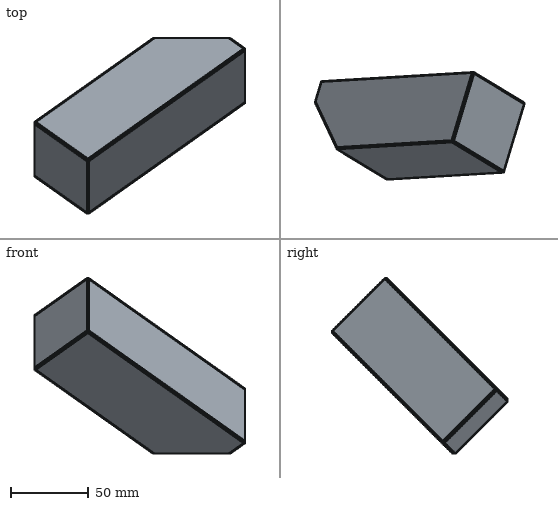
import cadquery as cq
import math

length = 145.0
width = 50.0
thickness = 50.0
corner_cut = 34.8
edge_chamfer = 1.0

diagonal = math.sqrt(0.5)
length_direction = (diagonal, 0.5, -0.5)
thickness_direction = (0, diagonal, diagonal)


def corner_wedge():
    """Triangular prism that slices off one far corner at 45 degrees."""
    return (
        cq.Workplane("XY")
        .moveTo(length, width)
        .lineTo(length - corner_cut, width)
        .lineTo(length, width - corner_cut)
        .close()
        .extrude(thickness)
    )


def beveled_block():
    """Block with all twelve edges beveled and the bevels mitred at the corners."""
    block = cq.Workplane("XY").box(length, width, thickness, centered=False)
    beveled = block
    for edge_direction in ("|X", "|Y", "|Z"):
        beveled = beveled.intersect(block.edges(edge_direction).chamfer(edge_chamfer))
    return beveled


def upright_bar():
    """Bar lying along X with its far corner cut off; the cut is beveled only at top and bottom."""
    bar = beveled_block().cut(corner_wedge())
    cut_direction = cq.Vector(1, 1, 0)
    cut_face = bar.faces(cq.selectors.DirectionMinMaxSelector(cut_direction))
    return cut_face.edges("#Z").chamfer(edge_chamfer)


tilted_frame = cq.Plane(origin=(0, 0, 0), xDir=length_direction, normal=thickness_direction)
result = cq.Workplane("XY").newObject([upright_bar().val().moved(cq.Location(tilted_frame))])